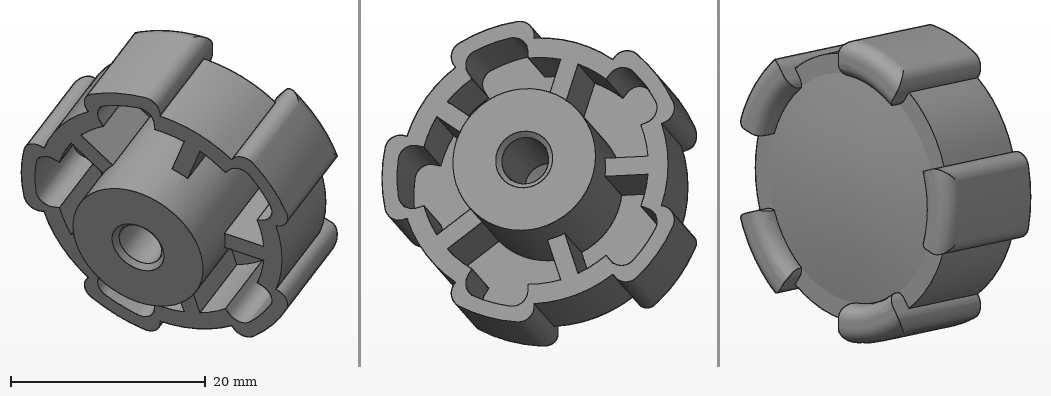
import cadquery as cq
import math


LOBE_COUNT = 5
LOBE_PITCH = 360 / LOBE_COUNT
LOBE_HALF_ANGLE = LOBE_PITCH / 4
FIRST_LOBE_ANGLE = 180

LOBE_OUTER_RADIUS = 16.0
LOBE_ROOT_RADIUS = 11.5
BODY_RADIUS = 14.07
CAVITY_RADIUS = 12.0
DISH_RADIUS = CAVITY_RADIUS
HUB_RADIUS = 15.0 / 2
ROUNDING = 1.6

HUB_PROJECTION = 5.0
BODY_HEIGHT = 10.0
LOBE_HEIGHT = 12.0
DOME_RISE = 1.2
BACK_THICKNESS = 1.6
RIM_TOP = HUB_PROJECTION + BODY_HEIGHT
CAVITY_DEPTH = BODY_HEIGHT - BACK_THICKNESS

LOBE_WALL = 1.6
POCKET_OUTER_RADIUS = LOBE_OUTER_RADIUS - LOBE_WALL
POCKET_HALF_ANGLE = 15
RIB_WIDTH = 1.9

HOLE_DIAMETER = 4.9
HOLE_MOUTH_DIAMETER = 6.0
HOLE_DEPTH = 12.0
DRILL_POINT_ANGLE = 118


def polar(radius, angle):
    """Point at a radius and an angle in degrees."""
    return (radius * math.cos(math.radians(angle)), radius * math.sin(math.radians(angle)))


def sector(inner_radius, outer_radius, half_angle, base, height):
    """Ring segment centred on +X, standing on the plane Z = base."""
    return (
        cq.Workplane("XY", origin=(0, 0, base))
        .moveTo(*polar(inner_radius, -half_angle))
        .lineTo(*polar(outer_radius, -half_angle))
        .threePointArc((outer_radius, 0), polar(outer_radius, half_angle))
        .lineTo(*polar(inner_radius, half_angle))
        .threePointArc((inner_radius, 0), polar(inner_radius, -half_angle))
        .close()
        .extrude(height)
    )


def around(shape, start_angle):
    """Join copies of a shape, one per lobe pitch, beginning at start_angle."""
    copies = cq.Workplane("XY")
    for index in range(LOBE_COUNT):
        angle = start_angle + index * LOBE_PITCH
        copies = copies.union(shape.rotate((0, 0, 0), (0, 0, 1), angle))
    return copies


def disc(radius, base, height):
    return cq.Workplane("XY", origin=(0, 0, base)).circle(radius).extrude(height)


def lobe():
    """Sector with rounded corners, trimmed to a ring that has both top edges rounded."""
    block = sector(LOBE_ROOT_RADIUS, LOBE_OUTER_RADIUS, LOBE_HALF_ANGLE, HUB_PROJECTION, LOBE_HEIGHT)
    block = block.edges("|Z").fillet(ROUNDING)
    ring = disc(LOBE_OUTER_RADIUS, HUB_PROJECTION, LOBE_HEIGHT)
    ring = ring.cut(disc(DISH_RADIUS, HUB_PROJECTION, LOBE_HEIGHT))
    ring = ring.faces(">Z").edges().fillet(ROUNDING)
    return block.intersect(ring)


def dome():
    """Shallow spherical cap on the back, reaching out to the inner faces of the lobes."""
    sphere_radius = (DISH_RADIUS**2 + DOME_RISE**2) / (2 * DOME_RISE)
    return (
        cq.Workplane("XZ")
        .moveTo(0, RIM_TOP)
        .lineTo(DISH_RADIUS, RIM_TOP)
        .radiusArc((0, RIM_TOP + DOME_RISE), -sphere_radius)
        .close()
        .revolve(360, (0, 0), (0, 1))
    )


def lobe_pocket():
    """Extension of the cavity into a lobe, with rounded outer corners."""
    pocket = sector(HUB_RADIUS, POCKET_OUTER_RADIUS, POCKET_HALF_ANGLE, HUB_PROJECTION, CAVITY_DEPTH)
    return pocket.edges("|Z").edges(">X").fillet(ROUNDING)


def rib():
    """Radial web, centred between two lobes, from the hub to the cavity wall."""
    return (
        cq.Workplane("XY", origin=(0, 0, HUB_PROJECTION))
        .rect(BODY_RADIUS, RIB_WIDTH)
        .extrude(CAVITY_DEPTH)
        .translate((BODY_RADIUS / 2, 0, 0))
    )


def hub_hole():
    """Blind hole with a chamfered mouth and a conical drill point."""
    hole_radius = HOLE_DIAMETER / 2
    mouth_radius = HOLE_MOUTH_DIAMETER / 2
    mouth_depth = mouth_radius - hole_radius
    point_length = hole_radius / math.tan(math.radians(DRILL_POINT_ANGLE / 2))
    return (
        cq.Workplane("XZ")
        .lineTo(mouth_radius, 0)
        .lineTo(hole_radius, mouth_depth)
        .lineTo(hole_radius, HOLE_DEPTH)
        .lineTo(0, HOLE_DEPTH + point_length)
        .close()
        .revolve(360, (0, 0), (0, 1))
    )


first_rib_angle = FIRST_LOBE_ANGLE + LOBE_PITCH / 2

cavity = disc(CAVITY_RADIUS, HUB_PROJECTION, CAVITY_DEPTH)
cavity = cavity.union(around(lobe_pocket(), FIRST_LOBE_ANGLE))
cavity = cavity.cut(around(rib(), first_rib_angle))

knob = disc(BODY_RADIUS, HUB_PROJECTION, BODY_HEIGHT)
knob = knob.union(dome())
knob = knob.union(around(lobe(), FIRST_LOBE_ANGLE))
knob = knob.cut(cavity)
knob = knob.union(disc(HUB_RADIUS, 0, RIM_TOP))
knob = knob.cut(hub_hole())

result = knob.rotate((0, 0, 0), (1, 0, 0), -90)